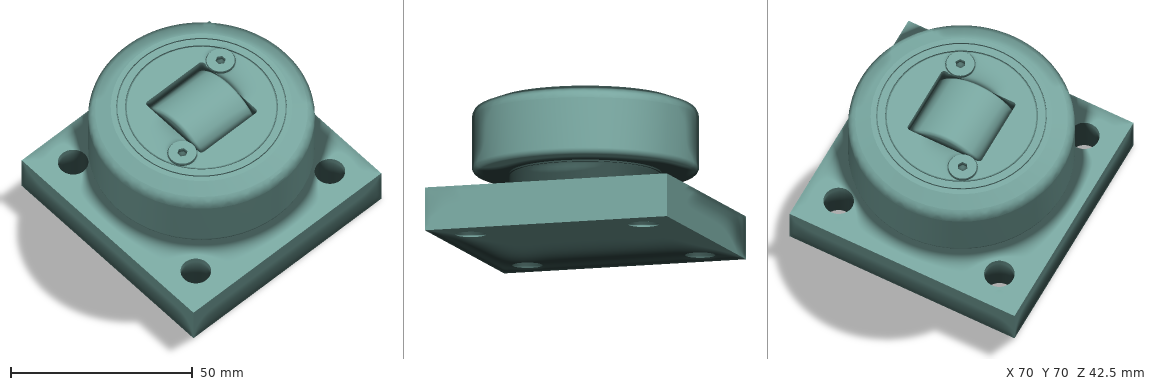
import cadquery as cq
import math

plate_side = 70.0
plate_thickness = 12.0
plate_hole_spacing = 50.0
plate_hole_diameter = 8.4

neck_radius = 21.0
neck_chamfer = 0.5
neck_top = 19.6

ring_radius = 31.2
ring_bottom = 20.0
ring_top = 40.0
ring_bottom_fillet = 1.5
crown_flat_radius = 25.0
crown_angle = math.radians(20)
crown_fillet = 3.0

groove_depth = 0.5
seal_outer_radius = 47.0 / 2
seal_outer_groove_width = 0.35
seal_inner_radius = 42.1 / 2
seal_inner_groove_width = 0.3
hub_radius = seal_inner_radius - seal_inner_groove_width
hub_chamfer = 0.2

roller_radius = 14.0
roller_length = 20.0
roller_fillet = 1.0
roller_axis_height = 28.5

pocket_length = 23.0
pocket_width = 21.3
pocket_corner_radius = 1.0
pocket_depth = ring_top - roller_axis_height

screw_x = 8.0
screw_y = 14.4
screw_recess_diameter = 8.4
screw_recess_depth = 0.5
screw_head_diameter = 7.8
screw_head_rise = 0.55
socket_across_flats = 2.5
socket_depth = 1.4
screw_points = [(-screw_x, screw_y), (screw_x, -screw_y)]


def make_plate():
    plate = cq.Workplane("XY").box(plate_side, plate_side, plate_thickness, centered=(True, True, False))
    return (
        plate.faces(">Z")
        .workplane()
        .rect(plate_hole_spacing, plate_hole_spacing, forConstruction=True)
        .vertices()
        .hole(plate_hole_diameter)
    )


def make_neck():
    neck = cq.Workplane("XY").workplane(offset=plate_thickness).circle(neck_radius)
    neck = neck.extrude(neck_top - plate_thickness).edges().chamfer(neck_chamfer)
    collar = cq.Workplane("XY").workplane(offset=neck_top).circle(neck_radius)
    return neck.union(collar.extrude(ring_bottom - neck_top))


def make_bearing():
    """Revolve the ring: a straight wall rounded into a shallow conical crown."""
    crown_edge_z = ring_top - (ring_radius - crown_flat_radius) * math.tan(crown_angle)
    ring = (
        cq.Workplane("XZ")
        .moveTo(0, ring_bottom)
        .lineTo(ring_radius, ring_bottom)
        .lineTo(ring_radius, crown_edge_z)
        .lineTo(crown_flat_radius, ring_top)
        .lineTo(0, ring_top)
        .close()
        .revolve(360, (0, 0), (0, 1))
    )
    ring = ring.faces("<Z").edges().fillet(ring_bottom_fillet)
    return ring.faces("%CONE").edges("<Z").fillet(crown_fillet)


def make_groove(outer_radius, width):
    groove = cq.Workplane("XY").workplane(offset=ring_top - groove_depth)
    return groove.circle(outer_radius).circle(outer_radius - width).extrude(groove_depth)


def make_hub_bevel():
    """Triangular ring that bevels the rim of the hub."""
    return (
        cq.Workplane("XZ")
        .moveTo(hub_radius - hub_chamfer, ring_top)
        .lineTo(hub_radius, ring_top)
        .lineTo(hub_radius, ring_top - hub_chamfer)
        .close()
        .revolve(360, (0, 0), (0, 1))
    )


def make_pocket():
    pocket = cq.Workplane("XY").workplane(offset=ring_top - pocket_depth)
    return pocket.rect(pocket_length, pocket_width).extrude(pocket_depth).edges("|Z").fillet(pocket_corner_radius)


def make_roller():
    roller = cq.Workplane("XZ", origin=(0, 0, roller_axis_height)).circle(roller_radius)
    return roller.extrude(roller_length / 2, both=True).edges("%CIRCLE").fillet(roller_fillet)


def make_screw_recesses():
    recesses = cq.Workplane("XY").workplane(offset=ring_top - screw_recess_depth)
    return recesses.pushPoints(screw_points).circle(screw_recess_diameter / 2).extrude(screw_recess_depth)


def make_screw_heads():
    heads = cq.Workplane("XY").workplane(offset=ring_top - screw_recess_depth)
    heads = heads.pushPoints(screw_points).circle(screw_head_diameter / 2)
    return heads.extrude(screw_recess_depth + screw_head_rise)


def make_hex_sockets():
    across_corners = socket_across_flats / math.cos(math.pi / 6)
    sockets = cq.Workplane("XY").workplane(offset=ring_top + screw_head_rise - socket_depth)
    return sockets.pushPoints(screw_points).polygon(6, across_corners).extrude(socket_depth)


bearing = (
    make_bearing()
    .cut(make_groove(seal_outer_radius, seal_outer_groove_width))
    .cut(make_groove(seal_inner_radius, seal_inner_groove_width))
    .cut(make_hub_bevel())
    .cut(make_pocket())
    .cut(make_screw_recesses())
)

result = (
    make_plate()
    .union(make_neck())
    .union(bearing)
    .union(make_roller())
    .union(make_screw_heads())
    .cut(make_hex_sockets())
)